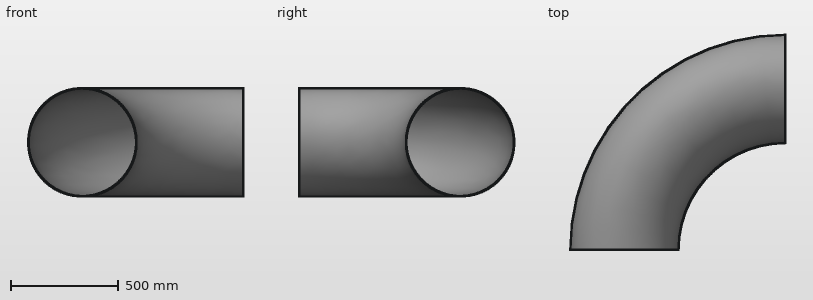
import cadquery as cq

outer_diameter = 506.0
wall_thickness = 3.0
bend_radius = 750.0
bend_angle = 90.0

inner_diameter = outer_diameter - 2 * wall_thickness


def pipe_elbow():
    """Ring section revolved about a vertical axis, from the -Y end to the +X end."""
    section = (
        cq.Workplane("XZ")
        .circle(outer_diameter / 2)
        .circle(inner_diameter / 2)
    )
    axis_start = (bend_radius, 0)
    axis_end = (bend_radius, -1)
    return section.revolve(bend_angle, axis_start, axis_end)


result = pipe_elbow()